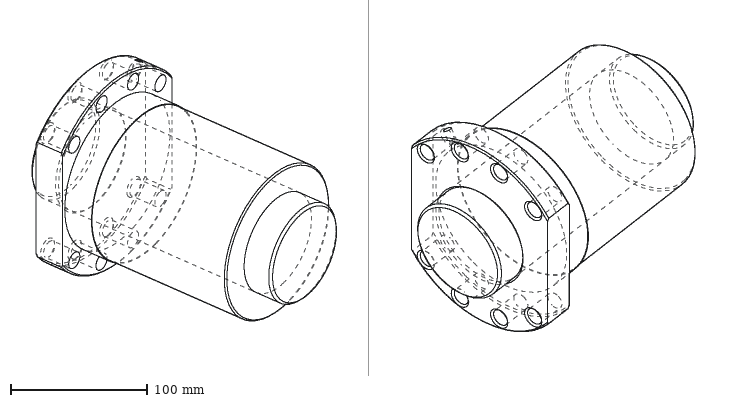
import cadquery as cq
import math

shaft_length = 225.0
shaft_diameter = 80.0
shaft_chamfer = 2.0

step_length = shaft_length / 9
flange_start = step_length
shoulder_start = flange_start + step_length
barrel_start = shoulder_start + step_length
barrel_end = shaft_length - step_length
flange_diameter = 165.0
flange_width = 130.0
flange_chamfer = 1.4
shoulder_diameter = 125.0
barrel_diameter = 124.0
barrel_chamfer = 1.4
bore_chamfer = 1.5

bolt_circle_diameter = 145.0
bolt_angles = (45.0, 75.0, 105.0, 135.0, 225.0, 255.0, 285.0, 315.0)
bolt_hole_diameter = 13.3
bolt_hole_chamfer = 1.5

port_diameter = 6.0
port_depth = 10.0
port_angle = 30.0
port_position = 37.8


def disc(start, length, diameter):
    """Solid cylinder along X from the given start."""
    return cq.Workplane("YZ", origin=(start, 0, 0)).circle(diameter / 2).extrude(length)


def make_shaft():
    return disc(0, shaft_length, shaft_diameter).edges().chamfer(shaft_chamfer)


def countersink(start, diameter, depth):
    """45 degree cone that narrows in +X to the given hole diameter."""
    cone = cq.Solid.makeCone(
        diameter / 2 + depth, diameter / 2, depth, cq.Vector(start, 0, 0), cq.Vector(1, 0, 0)
    )
    return cq.Workplane("XY").newObject([cone])


def make_flange():
    rim = disc(flange_start, step_length, flange_diameter).edges().chamfer(flange_chamfer)
    flats = cq.Workplane("XY").box(2 * shaft_length, flange_width, flange_diameter)
    return rim.intersect(flats)


def make_bolt_cutter(angle):
    """Through hole with a countersunk mouth, at an angle from +Y towards +Z."""
    hole = disc(flange_start, step_length, bolt_hole_diameter)
    mouth = countersink(flange_start, bolt_hole_diameter, bolt_hole_chamfer)
    radius = bolt_circle_diameter / 2
    y = radius * math.cos(math.radians(angle))
    z = radius * math.sin(math.radians(angle))
    return hole.union(mouth).translate((0, y, z))


def make_port_cutter():
    """Blind radial hole near the middle of the flange rim, tilted from +Z towards +Y."""
    floor_radius = flange_diameter / 2 - port_depth
    port = (
        cq.Workplane("XY", origin=(port_position, 0, floor_radius))
        .circle(port_diameter / 2)
        .extrude(2 * port_depth)
    )
    return port.rotate((0, 0, 0), (1, 0, 0), -port_angle)


def make_housing():
    shoulder = disc(shoulder_start, step_length, shoulder_diameter)
    barrel = disc(barrel_start, barrel_end - barrel_start, barrel_diameter)
    barrel = barrel.faces(">X").edges().chamfer(barrel_chamfer)
    housing = make_flange().union(shoulder).union(barrel)
    housing = housing.cut(disc(0, shaft_length, shaft_diameter))
    housing = housing.cut(countersink(flange_start, shaft_diameter, bore_chamfer))
    for angle in bolt_angles:
        housing = housing.cut(make_bolt_cutter(angle))
    return housing.cut(make_port_cutter())


shaft = make_shaft()
housing = make_housing()

result = cq.Compound.makeCompound([shaft.val(), housing.val()])